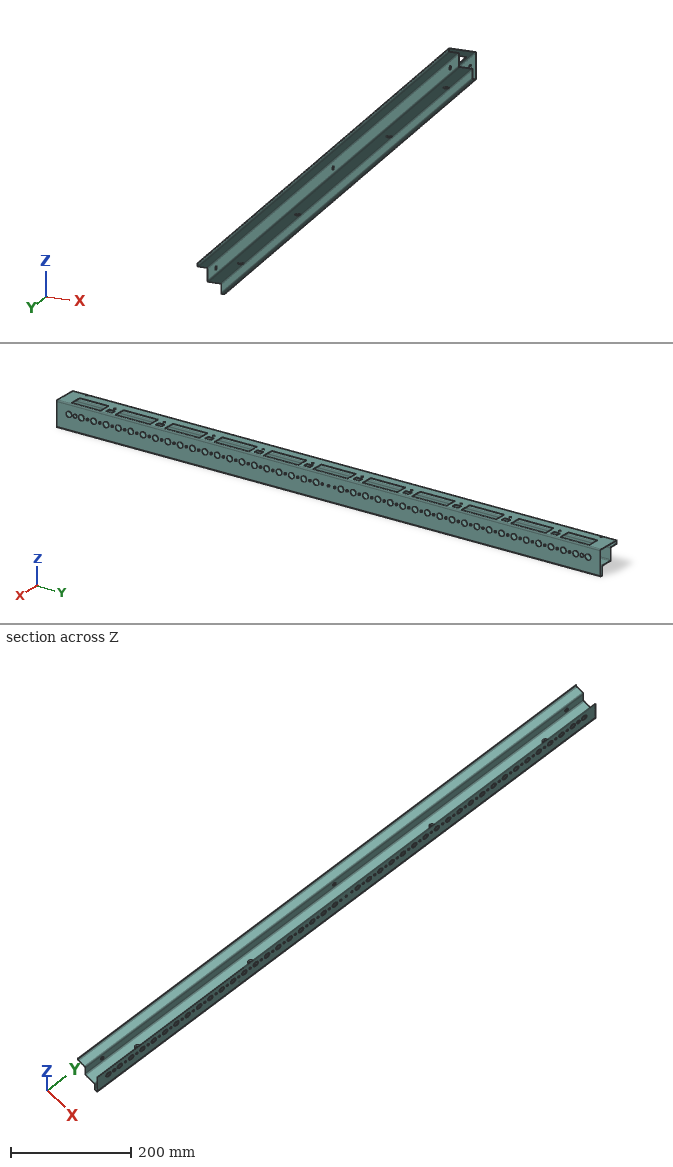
import cadquery as cq
SIZE = 50.0
LENGTH = 1100.0
SHEET = 1.5
OUTER_BEND = 2.0
INNER_BEND = OUTER_BEND - SHEET
NOTCH_OUTER_BEND = 1.0
NOTCH_INNER_BEND = 2.0
LIP = 7.5
STEP = 18.0

BRIDGE_COUNT = 10
BRIDGE_PITCH = 100.0
BRIDGE_WIDTH = 30.0
WINDOW_LEFT = 19.5
WINDOW_RIGHT = 43.5
END_WINDOW_MARGIN = 26.5

CLIP_X = 35.5
CLIP_WIDTH = 9.0
CLIP_LENGTH = 12.0
PILOT_X = 23.0
PILOT_DIAMETER = 4.2

MOUNT_X = 37.0
MOUNT_SPACINGS = (400.0, 900.0)
MOUNT_DIAMETER = 7.0
MOUNT_HEAD_DIAMETER = 11.0

ROW_Z = 30.0
ROW_PITCH = 25.0
ROW_LARGE_COUNT = 21
ROW_LARGE_DIAMETER = 11.0
ROW_SMALL_DIAMETER = 4.25

ACCESS_DIAMETER = 7.0
ACCESS_REACH = (ROW_LARGE_COUNT - 0.5) * ROW_PITCH

LIP_HOLE_DIAMETER = 4.2
LIP_HOLE_X = 3.5
LIP_HOLE_REACH = 520.0


def section_prism(inset, convex_radius, concave_radius):
    """Full-length prism of the section, moved inwards by the inset, with rounded long edges."""
    low = inset
    high = SIZE - inset
    lip = SIZE - LIP + inset
    step = STEP + inset
    concave = [(lip, step), (step, lip)]
    outline = [
        (low, high), (high, high), (high, low), (lip, low),
        concave[0], (step, step), concave[1], (low, lip),
    ]
    prism = cq.Workplane("XZ", origin=(0, LENGTH / 2, 0)).polyline(outline).close().extrude(LENGTH)
    for x, z in outline:
        radius = concave_radius if (x, z) in concave else convex_radius
        prism = prism.edges(cq.selectors.NearestToPointSelector((x, 0, z))).fillet(radius)
    return prism


def rail():
    """Bare rail, open at both ends."""
    outside = section_prism(0, OUTER_BEND, NOTCH_OUTER_BEND)
    inside = section_prism(SHEET, INNER_BEND, NOTCH_INNER_BEND)
    return outside.cut(inside)


def top_opening(left, right, front, back):
    """Rectangular cutter through the top plate."""
    plane = cq.Workplane("XY", origin=(left, front, SIZE - SHEET))
    return plane.rect(right - left, back - front, centered=False).extrude(SHEET)


def top_hole(x, y, diameter):
    """Round cutter through the top plate."""
    return cq.Workplane("XY", origin=(x, y, SIZE - SHEET)).circle(diameter / 2).extrude(SHEET)


def wall_hole(wall_x, y, diameter):
    """Round cutter through the upright wall that starts at wall_x."""
    return cq.Workplane("YZ", origin=(wall_x, y, ROW_Z)).circle(diameter / 2).extrude(SHEET)


def mount_hole(y):
    """Countersunk cutter through the floor, widest on the upper side."""
    hole = cq.Workplane("XY", origin=(MOUNT_X, y, STEP)).circle(MOUNT_DIAMETER / 2)
    return hole.workplane(offset=SHEET).circle(MOUNT_HEAD_DIAMETER / 2).loft()


def bridge_places():
    return [(i - (BRIDGE_COUNT - 1) / 2) * BRIDGE_PITCH for i in range(BRIDGE_COUNT)]


def windows():
    """Windows filling the top plate between the bridges and the end margins."""
    end = LENGTH / 2 - END_WINDOW_MARGIN
    fronts = [-end] + [y + BRIDGE_WIDTH / 2 for y in bridge_places()]
    backs = [y - BRIDGE_WIDTH / 2 for y in bridge_places()] + [end]
    return [top_opening(WINDOW_LEFT, WINDOW_RIGHT, front, back) for front, back in zip(fronts, backs)]


def bridge_openings():
    """A clip slot and a pilot hole in each bridge."""
    left = CLIP_X - CLIP_WIDTH / 2
    cutters = []
    for y in bridge_places():
        front = y - CLIP_LENGTH / 2
        cutters.append(top_opening(left, left + CLIP_WIDTH, front, front + CLIP_LENGTH))
        cutters.append(top_hole(PILOT_X, y, PILOT_DIAMETER))
    return cutters


def mount_holes():
    return [mount_hole(side * spacing / 2) for spacing in MOUNT_SPACINGS for side in (-1, 1)]


def back_wall_row():
    """Large holes at the pitch, small ones midway and in the middle, and access holes near the ends."""
    back_x = SIZE - SHEET
    cutters = [wall_hole(back_x, 0, ROW_SMALL_DIAMETER)]
    for side in (-1, 1):
        for i in range(ROW_LARGE_COUNT):
            cutters.append(wall_hole(back_x, side * (i + 1) * ROW_PITCH, ROW_LARGE_DIAMETER))
        for i in range(ROW_LARGE_COUNT - 1):
            cutters.append(wall_hole(back_x, side * (i + 0.5) * ROW_PITCH, ROW_SMALL_DIAMETER))
        cutters.append(wall_hole(back_x, side * ACCESS_REACH, ACCESS_DIAMETER))
    return cutters


def access_holes():
    return [wall_hole(STEP, side * ACCESS_REACH, ACCESS_DIAMETER) for side in (-1, 0, 1)]


def lip_holes():
    return [top_hole(LIP_HOLE_X, side * LIP_HOLE_REACH, LIP_HOLE_DIAMETER) for side in (-1, 1)]


cutters = windows() + bridge_openings() + mount_holes() + back_wall_row() + access_holes() + lip_holes()
result = rail().cut(cq.Workplane(cq.Compound.makeCompound([cutter.val() for cutter in cutters])))